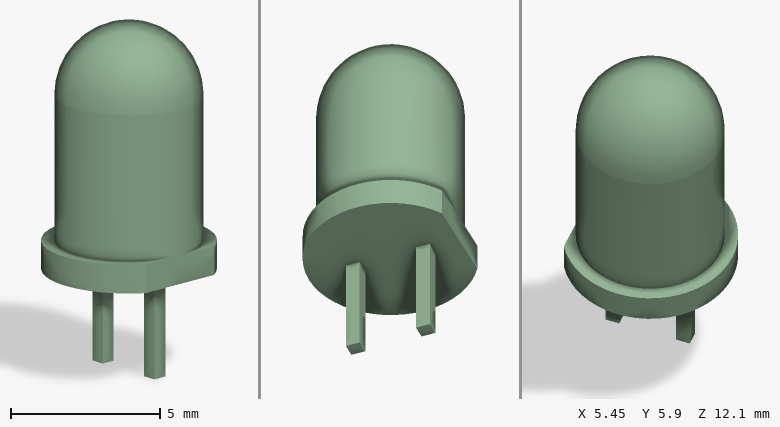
import cadquery as cq

lens_diameter = 5.0
flange_diameter = 5.9
flange_height = 1.0
body_height = 8.6
lead_width = 0.5
lead_length = 3.5
lead_pitch = 2.54

lens_radius = lens_diameter / 2
flange_radius = flange_diameter / 2
dome_start = body_height - lens_radius
flat_x = lens_radius


def make_lens():
    """Cylinder with a hemispherical top, revolved about Z."""
    dome_mid = lens_radius * 0.5 ** 0.5
    profile = (
        cq.Workplane("XZ")
        .lineTo(lens_radius, 0)
        .lineTo(lens_radius, dome_start)
        .threePointArc((dome_mid, dome_start + dome_mid), (0, body_height))
        .close()
    )
    return profile.revolve(360, (0, 0, 0), (0, 1, 0))


def make_flange():
    """Disc with its +X edge cut to a flat."""
    disc = cq.Workplane("XY").circle(flange_radius).extrude(flange_height)
    kept_length = flange_radius + flat_x
    kept_side = (
        cq.Workplane("XY")
        .center(flat_x - kept_length / 2, 0)
        .rect(kept_length, flange_diameter)
        .extrude(flange_height)
    )
    return disc.intersect(kept_side)


def make_leads():
    """Two square leads hanging below the flange, spaced along X."""
    return (
        cq.Workplane("XY")
        .pushPoints([(-lead_pitch / 2, 0), (lead_pitch / 2, 0)])
        .rect(lead_width, lead_width)
        .extrude(-lead_length)
    )


result = make_flange().union(make_lens()).union(make_leads())